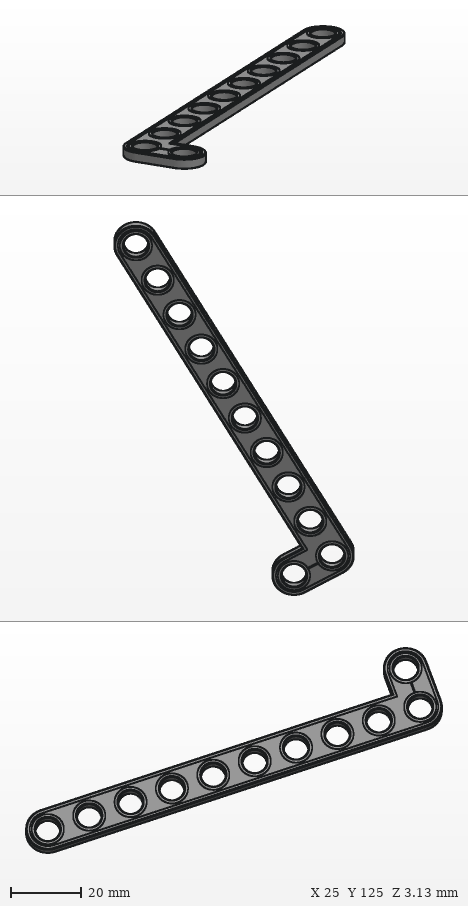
import cadquery as cq

pitch = 12.5
thickness = pitch / 4
long_arm_holes = 10
short_arm_holes = 2
hole_diameter = 7.0
ring_diameter = 9.2
edge_chamfer = 0.3
recess_depth = 0.2
rib_width = 0.3
rib_length = 3.0

rim_width = (ring_diameter - hole_diameter) / 2
long_arm_span = (long_arm_holes - 1) * pitch
short_arm_span = (short_arm_holes - 1) * pitch
hole_centers = [(0, row * pitch) for row in range(long_arm_holes)]
hole_centers += [(column * pitch, 0) for column in range(1, short_arm_holes)]


def l_shape(arm_width, height):
    """L-shaped prism with full-round arm ends; the corner hole is at the origin."""
    long_arm = (
        cq.Workplane("XY")
        .center(0, long_arm_span / 2)
        .slot2D(long_arm_span + arm_width, arm_width, 90)
        .extrude(height)
    )
    short_arm = (
        cq.Workplane("XY")
        .center(short_arm_span / 2, 0)
        .slot2D(short_arm_span + arm_width, arm_width)
        .extrude(height)
    )
    return long_arm.union(short_arm).clean()


def cylinders_at_holes(diameter, height):
    """One cylinder standing on every hole centre."""
    return cq.Workplane("XY").pushPoints(hole_centers).circle(diameter / 2).extrude(height)


def make_plate():
    """Full plate with its holes, every edge of the two large faces chamfered."""
    plate = l_shape(pitch, thickness)
    plate = plate.cut(cylinders_at_holes(hole_diameter, thickness))
    return plate.faces("|Z").edges().chamfer(edge_chamfer)


def make_recess():
    """Cutter for the shallow field inside the rim, leaving the rings and the rib standing."""
    field = l_shape(pitch - 2 * rim_width, recess_depth)
    rings = cylinders_at_holes(ring_diameter, recess_depth)
    rib = (
        cq.Workplane("XY")
        .center(short_arm_span / 2, 0)
        .rect(rib_length, rib_width)
        .extrude(recess_depth)
    )
    return field.cut(rings).cut(rib)


bottom_recess = make_recess()
top_recess = bottom_recess.translate((0, 0, thickness - recess_depth))
result = make_plate().cut(bottom_recess).cut(top_recess)